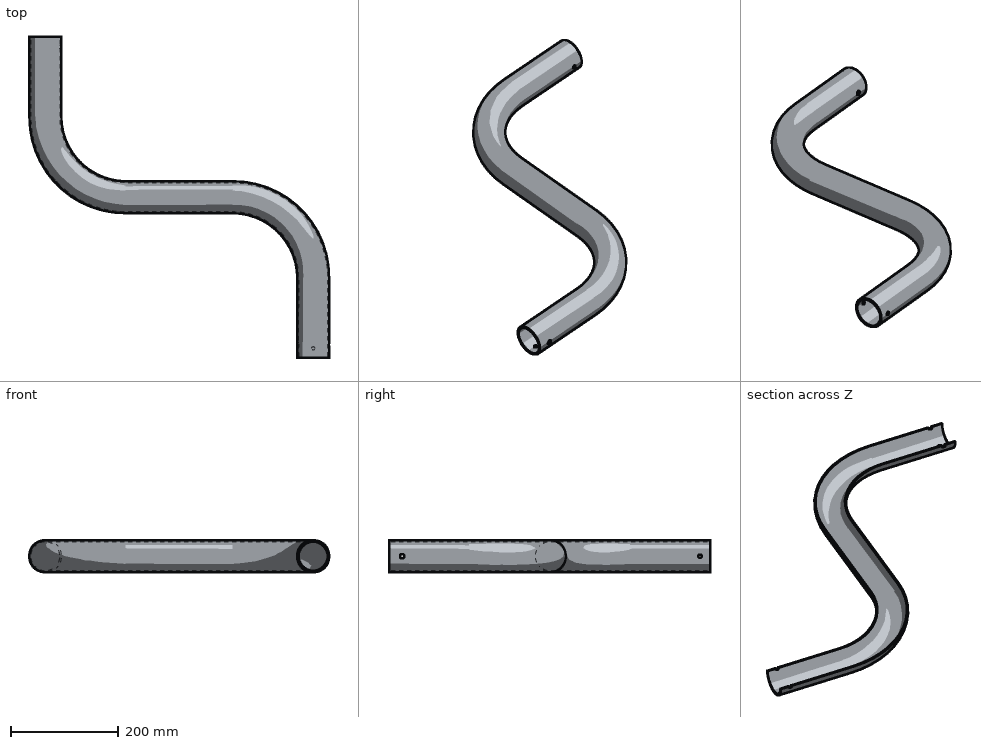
import cadquery as cq

outer_diameter = 60.3
inner_diameter = 53.9

middle_length = 200.0
bend_radius = 150.0
leg_length = 150.0

bend_start_x = middle_length / 2
leg_x = bend_start_x + bend_radius
leg_end_y = bend_radius + leg_length

front_hole_diameter = 8.0
front_hole_end_distance = 24.5
back_hole_diameter = 6.0
back_hole_end_distance = 19.5
bottom_hole_diameter = 6.0
bottom_hole_end_distance = 18.0


def centreline():
    """S-shaped path from the back leg (-X, +Y) to the front leg (+X, -Y)."""
    return (
        cq.Workplane("XY")
        .moveTo(-leg_x, leg_end_y)
        .lineTo(-leg_x, bend_radius)
        .tangentArcPoint((-bend_start_x, 0), relative=False)
        .lineTo(bend_start_x, 0)
        .tangentArcPoint((leg_x, -bend_radius), relative=False)
        .lineTo(leg_x, -leg_end_y)
    )


def bent_tube():
    """Hollow round tube following the centreline."""
    return (
        cq.Workplane("XZ", origin=(-leg_x, leg_end_y, 0))
        .circle(outer_diameter / 2)
        .circle(inner_diameter / 2)
        .sweep(centreline())
    )


def side_hole(x, y, diameter):
    """Cutter along X through both walls of the leg centred at x."""
    return (
        cq.Workplane("YZ", origin=(x, y, 0))
        .circle(diameter / 2)
        .extrude(outer_diameter, both=True)
    )


def bottom_hole(x, y, diameter):
    """Cutter along -Z from the tube axis through the lower wall only."""
    return (
        cq.Workplane("XY", origin=(x, y, 0))
        .circle(diameter / 2)
        .extrude(-outer_diameter)
    )


front_hole_y = -(leg_end_y - front_hole_end_distance)
back_hole_y = leg_end_y - back_hole_end_distance
bottom_hole_y = -(leg_end_y - bottom_hole_end_distance)

result = (
    bent_tube()
    .cut(side_hole(leg_x, front_hole_y, front_hole_diameter))
    .cut(side_hole(-leg_x, back_hole_y, back_hole_diameter))
    .cut(bottom_hole(leg_x, bottom_hole_y, bottom_hole_diameter))
)